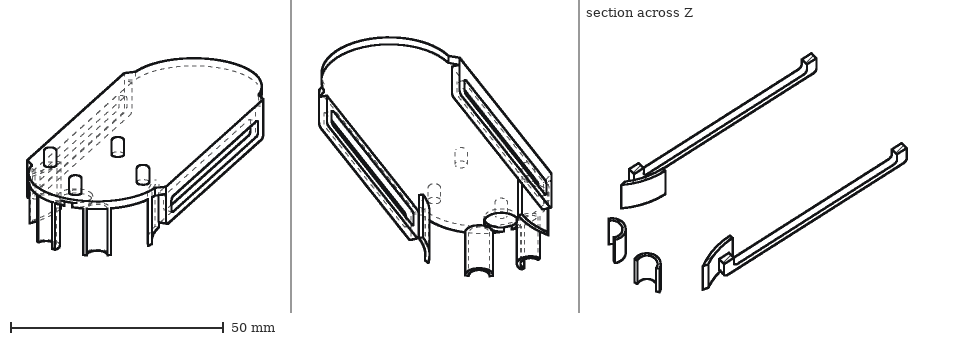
import cadquery as cq
import math

length = 86.9
width = 36.0
plate_thickness = 2.0
end_radius = 16.0
shoulder_run = 1.8
end_center_y = length / 2 - end_radius

wall_thickness = 2.0
wall_height = 10.0
wall_corner_radius = 1.0
window_margin = 2.95
window_height = 4.0
window_top_drop = 4.1
window_corner_radius = 1.0

pin_radius = 1.5
pin_height = 4.0
pin_edge_radius = 0.5
pin_circle_radius = 12.0
pin_count = 4

clip_height = 12.0
side_clip_center = (32.2, 6.4)
side_clip_inner_radius = 18.95
side_clip_outer_radius = 20.0
front_clip_center = (6.6, -14.2)
front_clip_inner_radius = 2.4
front_clip_outer_radius = 3.3

recess_radius = 4.1
recess_depth = 1.1


def make_plate():
    half_width = width / 2
    shoulder_y = end_center_y + shoulder_run
    arc_start_x = math.sqrt(end_radius**2 - shoulder_run**2)
    return (
        cq.Workplane("XY")
        .moveTo(half_width, -end_center_y)
        .lineTo(half_width, end_center_y)
        .lineTo(arc_start_x, shoulder_y)
        .threePointArc((0, length / 2), (-arc_start_x, shoulder_y))
        .lineTo(-half_width, end_center_y)
        .lineTo(-half_width, -end_center_y)
        .lineTo(-arc_start_x, -shoulder_y)
        .threePointArc((0, -length / 2), (arc_start_x, -shoulder_y))
        .close()
        .extrude(-plate_thickness)
    )


def make_wall(side):
    """Windowed wall along one long edge; side is +1 or -1 in X."""
    wall_length = 2 * end_center_y
    center_x = side * (width - wall_thickness) / 2
    wall = (
        cq.Workplane("XY")
        .box(wall_thickness, wall_length, wall_height)
        .edges("|X and <Z")
        .fillet(wall_corner_radius)
        .translate((center_x, 0, -wall_height / 2))
    )
    window = (
        cq.Workplane("XY")
        .box(wall_thickness, wall_length - 2 * window_margin, window_height)
        .edges("|X")
        .fillet(window_corner_radius)
        .translate((center_x, 0, -window_top_drop - window_height / 2))
    )
    return wall.cut(window)


def make_pins():
    return (
        cq.Workplane("XY")
        .center(0, -end_center_y)
        .polarArray(pin_circle_radius, 0, 360, pin_count)
        .circle(pin_radius)
        .extrude(pin_height)
        .faces(">Z")
        .edges()
        .fillet(pin_edge_radius)
    )


def clip_ring(side, center, inner_radius, outer_radius):
    """Upright ring below the plate; side is the sign of its X position."""
    return (
        cq.Workplane("XY")
        .workplane(offset=-plate_thickness)
        .center(side * center[0], center[1] - end_center_y)
        .circle(outer_radius)
        .circle(inner_radius)
        .extrude(-clip_height)
    )


def make_clips(side):
    """Clips on one side: two rings trimmed to the end circle."""
    end_cylinder = (
        cq.Workplane("XY")
        .center(0, -end_center_y)
        .circle(end_radius)
        .extrude(-plate_thickness - clip_height)
    )
    clip_end_y = side_clip_center[1] - end_center_y
    side_limit = (
        cq.Workplane("XY")
        .box(length, length, length)
        .translate((0, clip_end_y - length / 2, 0))
    )
    side_ring = clip_ring(side, side_clip_center, side_clip_inner_radius, side_clip_outer_radius)
    front_ring = clip_ring(side, front_clip_center, front_clip_inner_radius, front_clip_outer_radius)
    side_clip = side_ring.intersect(end_cylinder).intersect(side_limit)
    front_clip = front_ring.intersect(end_cylinder)
    return side_clip, front_clip


def make_recess():
    return (
        cq.Workplane("XY")
        .workplane(offset=-plate_thickness)
        .center(0, -end_center_y - pin_circle_radius)
        .circle(recess_radius)
        .extrude(recess_depth)
    )


result = make_plate().cut(make_recess()).union(make_pins())
for side in (-1, 1):
    result = result.union(make_wall(side))
    for clip in make_clips(side):
        result = result.union(clip)